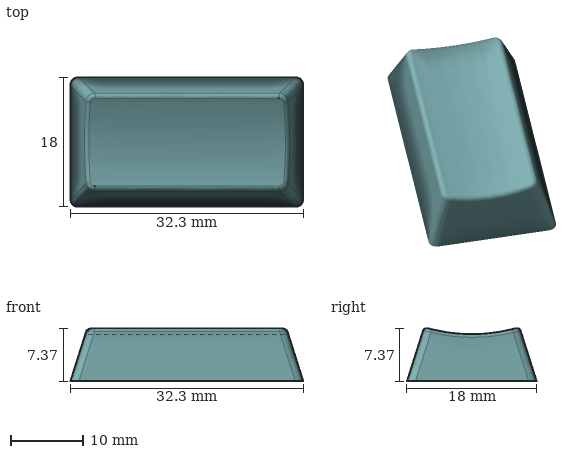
import cadquery as cq
import math

LENGTH = 32.3
WIDTH = 18.0
WALL_DRAFT = 17.6
CORNER_RADIUS = 1.2
DISH_RADIUS = 22.6
DISH_FLOOR = 6.52
RIM_RADIUS = 0.6

TRIM_ALLOWANCE = 2.58
BLANK_HEIGHT = DISH_FLOOR + TRIM_ALLOWANCE


def tapered_blank():
    """Block with leaning walls and rounded corner edges."""
    inset = BLANK_HEIGHT * math.tan(math.radians(WALL_DRAFT))
    block = (
        cq.Workplane("XY")
        .rect(LENGTH, WIDTH)
        .workplane(offset=BLANK_HEIGHT)
        .rect(LENGTH - 2 * inset, WIDTH - 2 * inset)
        .loft(ruled=True)
    )
    return block.edges("not(#Z)").fillet(CORNER_RADIUS)


def dish_cutter():
    """Cylinder along X whose lowest line is the floor of the dish."""
    return (
        cq.Workplane("YZ", origin=(-LENGTH / 2, 0, 0))
        .center(0, DISH_FLOOR + DISH_RADIUS)
        .circle(DISH_RADIUS)
        .extrude(LENGTH)
    )


def round_rim(cap):
    """Round every edge around the dish."""
    return cap.faces("%CYLINDER").faces(">Z").edges().fillet(RIM_RADIUS)


result = round_rim(tapered_blank().cut(dish_cutter()))